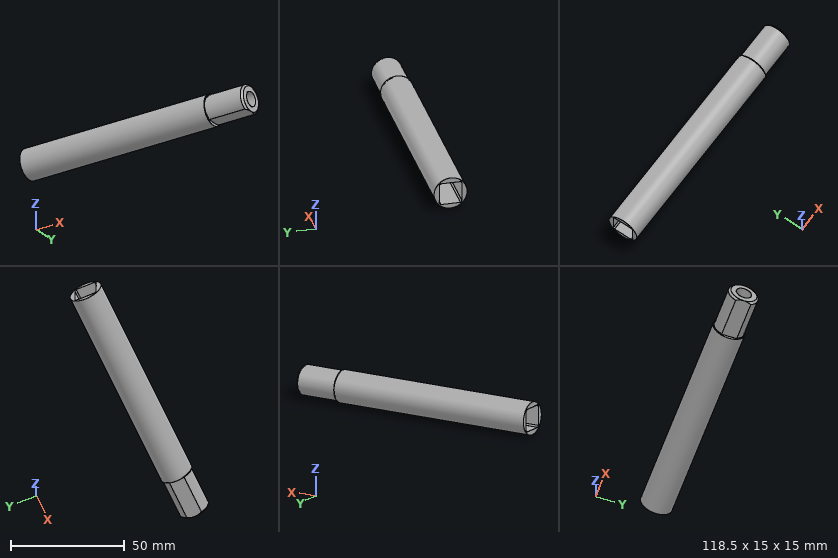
import cadquery as cq

total_length = 118.5
spigot_length = 20.0
barrel_length = total_length - spigot_length

barrel_diameter = 15.0
spigot_diameter = 14.0
spigot_chamfer = 1.0
flat_distance = 6.0

socket_width = 10.3
socket_corner_chamfer = 0.7
bore_diameter = 7.0


def make_barrel():
    """Round barrel starting at X = 0."""
    return cq.Workplane("YZ").circle(barrel_diameter / 2).extrude(barrel_length)


def make_spigot():
    """Reduced round end with a chamfered tip and a flat along its underside."""
    spigot = (
        cq.Workplane("YZ", origin=(barrel_length, 0, 0))
        .circle(spigot_diameter / 2)
        .extrude(spigot_length)
        .faces(">X")
        .chamfer(spigot_chamfer)
    )
    below_flat = cq.Workplane("XY").box(
        spigot_length, spigot_diameter, spigot_diameter, centered=(False, True, False)
    ).translate((barrel_length, 0, -flat_distance - spigot_diameter))
    return spigot.cut(below_flat)


def make_socket():
    """Square cavity with bevelled corners, running the length of the barrel."""
    return (
        cq.Workplane("YZ")
        .rect(socket_width, socket_width)
        .extrude(barrel_length)
        .edges("|X")
        .chamfer(socket_corner_chamfer)
    )


def make_bore():
    """Round hole through the whole part."""
    return cq.Workplane("YZ").circle(bore_diameter / 2).extrude(total_length)


result = make_barrel().union(make_spigot()).cut(make_socket()).cut(make_bore())